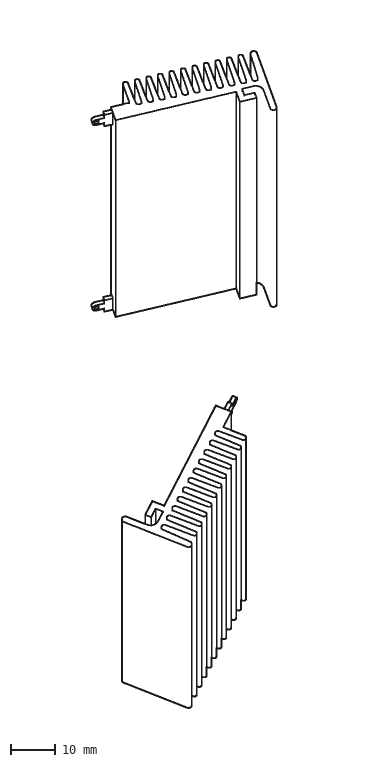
import cadquery as cq

length = 75.0
profile_width = 17.26
spine_height = 36.0
spine_left = 6.05
spine_right = 9.9

flange_thickness = 1.52
flange_end_radius = flange_thickness / 2
flange_bottom = spine_height - flange_thickness

slot_count = 11
slot_pitch = 2.71
first_slot_drop = 2.48
slot_mouth_half = 0.78
slot_root_radius = 0.67
first_slot_depth = 8.25
last_slot_depth = 7.15
fin_end_radius = slot_pitch / 2 - slot_mouth_half
last_fin_bottom = 4.4
fin_tip_x = 0.15

hook_right = 12.85
hook_thickness = 1.5
hook_inner = hook_right - hook_thickness
hook_top_drop = 3.65
hook_bottom_drop = 7.6
hook_top = spine_height - hook_top_drop
hook_bottom = spine_height - hook_bottom_drop
channel_floor = hook_bottom + hook_thickness
channel_left = 9.5
channel_fillet = 1.9

terminal_thickness = 1.0
terminal_center_x = 7.27
terminal_base_width = 4.35
terminal_base_length = 2.0
terminal_reach = 4.82
tongue_radius = 1.0
terminal_hole_diameter = 1.0
tongue_center_y = tongue_radius - terminal_reach


def add_slot_and_fin_end(outline, index):
    """Trace one slot, from the fin above it to the rounded end of the fin below it."""
    center = spine_height - first_slot_drop - index * slot_pitch
    depth = first_slot_depth + (last_slot_depth - first_slot_depth) * index / (slot_count - 1)
    root_x = depth - slot_root_radius
    is_last = index == slot_count - 1
    fin_top = center - slot_mouth_half
    fin_bottom = last_fin_bottom if is_last else fin_top - 2 * fin_end_radius
    end_radius = (fin_top - fin_bottom) / 2
    end_x = fin_tip_x + end_radius
    return (
        outline.lineTo(root_x, center + slot_root_radius)
        .threePointArc((depth, center), (root_x, center - slot_root_radius))
        .lineTo(end_x, fin_top)
        .threePointArc((fin_tip_x, fin_top - end_radius), (end_x, fin_bottom))
    )


def make_heat_sink():
    flange_middle = spine_height - flange_end_radius
    flange_end = profile_width - flange_end_radius
    outline = (
        cq.Workplane("XY")
        .moveTo(flange_end, spine_height)
        .lineTo(flange_end_radius, spine_height)
        .threePointArc((0, flange_middle), (flange_end_radius, flange_bottom))
    )
    for index in range(slot_count):
        outline = add_slot_and_fin_end(outline, index)
    return (
        outline.lineTo(spine_left, last_fin_bottom)
        .lineTo(spine_left, 0)
        .lineTo(spine_right, 0)
        .lineTo(spine_right, hook_bottom)
        .lineTo(hook_right, hook_bottom)
        .lineTo(hook_right, hook_top)
        .lineTo(hook_inner, hook_top)
        .lineTo(hook_inner, channel_floor)
        .lineTo(channel_left, channel_floor)
        .lineTo(channel_left, flange_bottom - channel_fillet)
        .radiusArc((channel_left + channel_fillet, flange_bottom), channel_fillet)
        .lineTo(flange_end, flange_bottom)
        .threePointArc((profile_width, flange_middle), (flange_end, spine_height))
        .close()
        .extrude(length)
    )


def make_terminal(center_z):
    """Flat terminal: wide base on the spine, then a round-ended tongue with a hole."""
    half_base = terminal_base_width / 2
    return (
        cq.Workplane("YZ", origin=(terminal_center_x, 0, center_z))
        .moveTo(0, -half_base)
        .lineTo(0, half_base)
        .lineTo(-terminal_base_length, half_base)
        .lineTo(-terminal_base_length, tongue_radius)
        .lineTo(tongue_center_y, tongue_radius)
        .threePointArc((-terminal_reach, 0), (tongue_center_y, -tongue_radius))
        .lineTo(-terminal_base_length, -tongue_radius)
        .lineTo(-terminal_base_length, -half_base)
        .close()
        .moveTo(tongue_center_y, 0)
        .circle(terminal_hole_diameter / 2)
        .extrude(terminal_thickness / 2, both=True)
    )


heat_sink = make_heat_sink()

terminal_centers = (terminal_base_width / 2, length - terminal_base_width / 2)
terminals = [make_terminal(center_z).val() for center_z in terminal_centers]

result = cq.Compound.makeCompound([heat_sink.val(), *terminals])